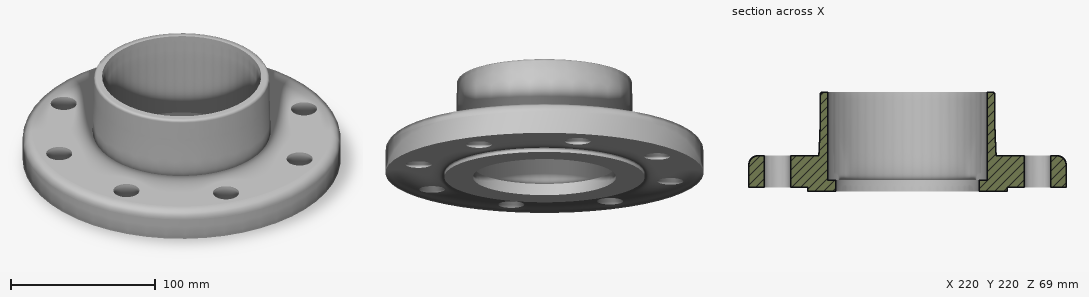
import cadquery as cq

total_height = 69.0

flange_diameter = 220.0
flange_thickness = 22.0
flange_edge_radius = 6.6

raised_face_diameter = 138.6
raised_face_height = 3.0
flange_top = raised_face_height + flange_thickness

hub_base_diameter = 123.0
hub_top_diameter = 121.0
hub_rim_radius = 2.0
socket_diameter = 110.0
socket_floor_height = 8.0
bore_diameter = 99.0

bolt_count = 8
bolt_hole_diameter = 18.0
bolt_circle_diameter = 180.0


def make_flange():
    """Disc with a rounded upper rim, standing on the raised sealing face."""
    raised_face = cq.Workplane("XY").circle(raised_face_diameter / 2).extrude(raised_face_height)
    disc = (
        cq.Workplane("XY", origin=(0, 0, raised_face_height))
        .circle(flange_diameter / 2)
        .extrude(flange_thickness)
        .faces(">Z")
        .edges()
        .fillet(flange_edge_radius)
    )
    return disc.union(raised_face)


def make_hub():
    """Cone frustum, slightly narrower at the top, with a rounded rim."""
    return (
        cq.Workplane("XY", origin=(0, 0, flange_top))
        .circle(hub_base_diameter / 2)
        .workplane(offset=total_height - flange_top)
        .circle(hub_top_diameter / 2)
        .loft()
        .faces(">Z")
        .edges()
        .fillet(hub_rim_radius)
    )


def make_bore():
    """Through bore that widens into the pipe socket above the stop ledge."""
    through_bore = cq.Workplane("XY").circle(bore_diameter / 2).extrude(total_height)
    socket = (
        cq.Workplane("XY", origin=(0, 0, socket_floor_height))
        .circle(socket_diameter / 2)
        .extrude(total_height - socket_floor_height)
    )
    return through_bore.union(socket)


def make_bolt_holes():
    """Evenly spaced cylinders through the flange, the first one on the X axis."""
    return (
        cq.Workplane("XY")
        .polarArray(bolt_circle_diameter / 2, 0, 360, bolt_count)
        .circle(bolt_hole_diameter / 2)
        .extrude(flange_top)
    )


result = make_flange().union(make_hub()).cut(make_bore()).cut(make_bolt_holes())